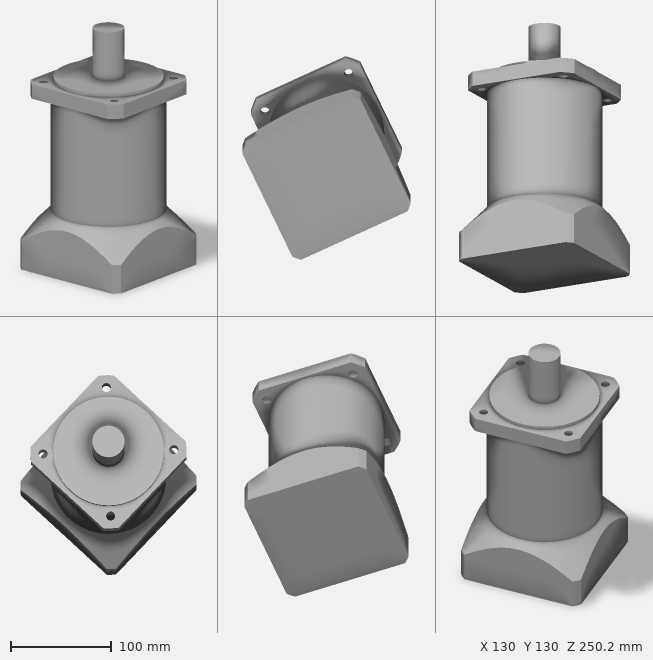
import cadquery as cq

total_height = 250.2

base_width = 130.0
base_corner_radius = 87.5
cone_top_height = 60.0

housing_radius = 57.5

flange_width = 120.0
flange_corner_radius = 77.5
flange_bottom = 180.1
flange_thickness = 15.0

bolt_circle_radius = 65.0
bolt_hole_radius = 4.5
bolt_count = 4
first_bolt_angle = 45

pilot_radius = 55.0
pilot_height = 4.0
shaft_radius = 16.0

cone_drop = base_corner_radius - housing_radius
base_corner_height = cone_top_height - cone_drop
flange_top = flange_bottom + flange_thickness
pilot_top = flange_top + pilot_height


def cylinder(radius, bottom, top):
    """Upright cylinder on the Z axis between two heights."""
    return cq.Workplane("XY").workplane(offset=bottom).circle(radius).extrude(top - bottom)


def trim_to_square(turned, width):
    """Cut a turned body down to a square across its flats, leaving its corners round."""
    square = cq.Workplane("XY").rect(width, width).extrude(total_height)
    return turned.intersect(square)


def make_base():
    """Squared cylinder with a 45 degree conical top."""
    turned = (
        cq.Workplane("XZ")
        .moveTo(0, 0)
        .lineTo(base_corner_radius, 0)
        .lineTo(base_corner_radius, base_corner_height)
        .lineTo(housing_radius, cone_top_height)
        .lineTo(0, cone_top_height)
        .close()
        .revolve(360, (0, 0, 0), (0, 1, 0))
    )
    return trim_to_square(turned, base_width)


def make_flange():
    """Squared disc with a through hole in each corner."""
    disc = cylinder(flange_corner_radius, flange_bottom, flange_top)
    holes = (
        cq.Workplane("XY")
        .workplane(offset=flange_bottom)
        .polarArray(bolt_circle_radius, first_bolt_angle, 360, bolt_count)
        .circle(bolt_hole_radius)
        .extrude(flange_thickness)
    )
    return trim_to_square(disc, flange_width).cut(holes)


base = make_base()
housing = cylinder(housing_radius, cone_top_height, flange_bottom)
flange = make_flange()
pilot = cylinder(pilot_radius, flange_top, pilot_top)
shaft = cylinder(shaft_radius, pilot_top, total_height)

result = base.union(housing).union(flange).union(pilot).union(shaft)